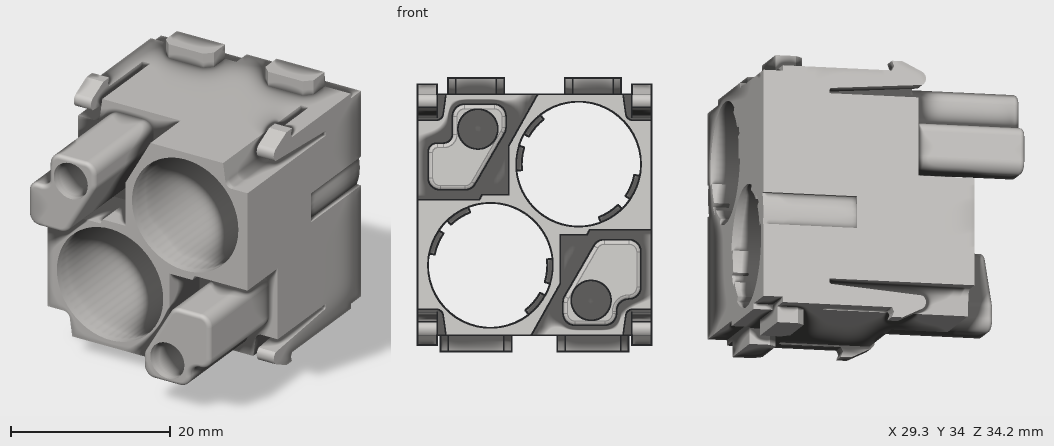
import cadquery as cq
import math


body_width = 29.3
body_height = 30.15
body_depth = 27.15
half_width = body_width / 2
half_height = body_height / 2

bore_x = 5.5
bore_z = 6.33
bore_radius = 7.8
tab_inner_radius = 7.08
tab_length = 2.05
tab_sweep = 23.5
tab_angles = (139.5, 174.5, 302.5, 337.5)

pocket_floor_depth = 19.95
pocket_outer_z = 1.85
pocket_inner_z = 2.5
pocket_step_x = (-6.9, -6.55)
pocket_wall_x = -3.2
pocket_bend_z = 8.62
pocket_top_x = 0.4

plug_end_depth = 34.0
plug_left_x = -13.3
plug_step_x = -10.25
plug_right_x = -3.55
plug_bottom_z = 3.1
plug_bend_z = 10.55
plug_top_z = 13.8
plug_slope = 60
plug_corner_radius = 1.5
plug_end_radius = 0.55
upper_step_z = 8.95
upper_step_radius = 1.13
lower_step_z = 10.55
lower_step_radius = 1.5
contact_x = -7.08
contact_z = 10.7
contact_radius = 2.5

arm_width = 2.5
arm_root_drop = 2.6
arm_root_round = 0.3
relief_start_depth = 8.48
relief_drop = 3.3
relief_floor_width = 2.25
relief_wall_drop = 2.45
relief_wall_x = 3.25
relief_mouth_x = 3.6
latch_top_z = 16.3
latch_back_depth = 16.52
latch_crest_depth = 17.9
latch_notch_depth = 16.8
latch_notch_z = 15.63
latch_nose_depth = 20.42
latch_tip_depth = 20.9
latch_tip_z = 14.3
latch_under_z = 13.4

key_top_z = 17.1
key_back_depth = 2.45
key_front_depth = 6.1
key_chamfer = 1.0
key_spacing = 14.6
upper_key_width = 7.08
lower_key_width = 8.95

back_step_height = 0.7
back_step_left_end = -2.12
back_step_right_start = 9.4

groove_length = 12.0
groove_top_z = -1.15
groove_bottom_z = -5.2
groove_crown_z = -3.63
groove_crown_inset = 0.17
groove_floor_radius = 6.85

overlap = 0.35


def front_plane(depth):
    """Plane at the given depth: local x is X, local y is Z, extrusion runs forward."""
    return cq.Workplane("XZ", origin=(0, -depth, 0))


def half_turn(shape):
    return shape.rotate((0, 0, 0), (0, 1, 0), 180)


def polar(radius, angle):
    radians = math.radians(angle)
    return (radius * math.cos(radians), radius * math.sin(radians))


def make_block():
    return front_plane(0).rect(body_width, body_height).extrude(body_depth)


def make_pocket():
    points = [
        (-half_width, pocket_outer_z),
        (pocket_step_x[0], pocket_outer_z),
        (pocket_step_x[1], pocket_inner_z),
        (pocket_wall_x, pocket_inner_z),
        (pocket_wall_x, pocket_bend_z),
        (pocket_top_x, half_height),
        (-half_width, half_height),
    ]
    pocket_depth = body_depth - pocket_floor_depth
    return front_plane(pocket_floor_depth).polyline(points).close().extrude(pocket_depth)


def make_bore():
    """Cutter for a bore, leaving the retaining tabs standing."""
    tab_outer_radius = bore_radius + overlap
    bore = front_plane(0).circle(bore_radius).extrude(body_depth)
    for angle in tab_angles:
        start = angle - tab_sweep / 2
        end = angle + tab_sweep / 2
        tab = (
            front_plane(0)
            .moveTo(*polar(tab_inner_radius, start))
            .threePointArc(polar(tab_inner_radius, angle), polar(tab_inner_radius, end))
            .lineTo(*polar(tab_outer_radius, end))
            .threePointArc(polar(tab_outer_radius, angle), polar(tab_outer_radius, start))
            .close()
            .extrude(tab_length)
        )
        bore = bore.cut(tab)
    return bore.translate((bore_x, 0, bore_z))


def make_plug(step_z, step_radius):
    """Plug of the upper left pocket, with rounded long edges and a rounded front rim."""
    slope_run = (plug_bend_z - plug_bottom_z) / math.tan(math.radians(plug_slope))
    slope_foot_x = plug_right_x - slope_run
    points = [
        (plug_left_x, plug_bottom_z),
        (slope_foot_x, plug_bottom_z),
        (plug_right_x, plug_bend_z),
        (plug_right_x, plug_top_z),
        (plug_step_x, plug_top_z),
        (plug_step_x, step_z),
        (plug_left_x, step_z),
    ]
    length = plug_end_depth - pocket_floor_depth
    plug = front_plane(pocket_floor_depth).polyline(points).close().extrude(length)
    middle_y = -(pocket_floor_depth + plug_end_depth) / 2
    step_edges = cq.selectors.BoxSelector(
        (plug_left_x - overlap, middle_y - overlap, step_z - overlap),
        (plug_step_x + overlap, middle_y + overlap, step_z + overlap),
    )
    long_edges = cq.selectors.ParallelDirSelector(cq.Vector(0, 1, 0))
    plug = plug.edges(long_edges - step_edges).fillet(plug_corner_radius)
    plug = plug.edges(step_edges).fillet(step_radius)
    return plug.faces("<Y").edges().fillet(plug_end_radius)


def make_contact_hole():
    return (
        front_plane(pocket_floor_depth)
        .center(contact_x, contact_z)
        .circle(contact_radius)
        .extrude(plug_end_depth - pocket_floor_depth)
    )


def make_relief():
    """Clearance around the latch arm in the upper left corner."""
    corner_run = relief_wall_x - relief_floor_width
    corner_rise = relief_drop - relief_wall_drop
    arc_middle = (
        -half_width + relief_floor_width + corner_run * math.sin(math.pi / 4),
        half_height - relief_wall_drop - corner_rise * math.sin(math.pi / 4),
    )
    return (
        front_plane(relief_start_depth)
        .moveTo(-half_width, half_height)
        .lineTo(-half_width, half_height - relief_drop)
        .lineTo(-half_width + relief_floor_width, half_height - relief_drop)
        .threePointArc(arc_middle, (-half_width + relief_wall_x, half_height - relief_wall_drop))
        .lineTo(-half_width + relief_mouth_x, half_height)
        .close()
        .extrude(body_depth - relief_start_depth)
    )


def make_arm():
    """Latch arm of the upper left corner, drawn as a side profile."""
    root_z = half_height - arm_root_drop
    round_offset = arm_root_round * (1 - math.sin(math.pi / 4))
    return (
        cq.Workplane("YZ", origin=(-half_width, 0, 0))
        .moveTo(-(relief_start_depth + arm_root_round), root_z)
        .threePointArc(
            (-(relief_start_depth + round_offset), root_z - round_offset),
            (-relief_start_depth, root_z - arm_root_round),
        )
        .lineTo(-relief_start_depth, half_height)
        .lineTo(-latch_back_depth, half_height)
        .lineTo(-latch_notch_depth, latch_notch_z)
        .lineTo(-latch_back_depth, latch_top_z)
        .lineTo(-latch_crest_depth, latch_top_z)
        .lineTo(-latch_nose_depth, half_height)
        .threePointArc((-latch_tip_depth, latch_tip_z), (-latch_nose_depth, latch_under_z))
        .close()
        .extrude(arm_width)
    )


def in_four_corners(shape):
    left = shape.union(shape.mirror("XY"))
    return left.union(left.mirror("YZ"))


def make_key_pair(width):
    """Keys on the top face, with both front corners chamfered."""
    key_base_z = half_height - back_step_height
    key = (
        cq.Workplane("XY", origin=(0, 0, key_base_z))
        .rect(width, key_front_depth - key_back_depth)
        .extrude(key_top_z - key_base_z)
        .edges("|Z and <Y")
        .chamfer(key_chamfer)
        .translate((0, -(key_front_depth + key_back_depth) / 2, 0))
    )
    left_key = key.translate((-key_spacing / 2, 0, 0))
    return left_key.union(key.translate((key_spacing / 2, 0, 0)))


def make_back_step(start_x, end_x):
    return (
        cq.Workplane("XY")
        .box(end_x - start_x, key_back_depth, back_step_height, centered=False)
        .translate((start_x, -key_back_depth, half_height - back_step_height))
    )


def groove_floor_x(z):
    rise = z - groove_crown_z
    sagitta = groove_floor_radius - math.sqrt(groove_floor_radius**2 - rise**2)
    return -half_width + groove_crown_inset + sagitta


def make_groove():
    return (
        front_plane(0)
        .moveTo(-half_width, groove_top_z)
        .lineTo(groove_floor_x(groove_top_z), groove_top_z)
        .threePointArc(
            (groove_floor_x(groove_crown_z), groove_crown_z),
            (groove_floor_x(groove_bottom_z), groove_bottom_z),
        )
        .lineTo(-half_width, groove_bottom_z)
        .close()
        .extrude(groove_length)
    )


upper_plug = make_plug(upper_step_z, upper_step_radius)
lower_plug = half_turn(make_plug(lower_step_z, lower_step_radius))

contact_hole = make_contact_hole()

result = make_block()
cutters = (
    make_pocket(),
    make_bore(),
    make_back_step(-half_width, back_step_left_end),
    make_back_step(back_step_right_start, half_width),
    make_groove(),
)
for cutter in cutters:
    result = result.cut(cutter).cut(half_turn(cutter))
result = result.cut(in_four_corners(make_relief())).union(in_four_corners(make_arm()))
result = result.union(make_key_pair(upper_key_width)).union(half_turn(make_key_pair(lower_key_width)))
result = result.union(upper_plug).union(lower_plug)
result = result.cut(contact_hole).cut(half_turn(contact_hole))